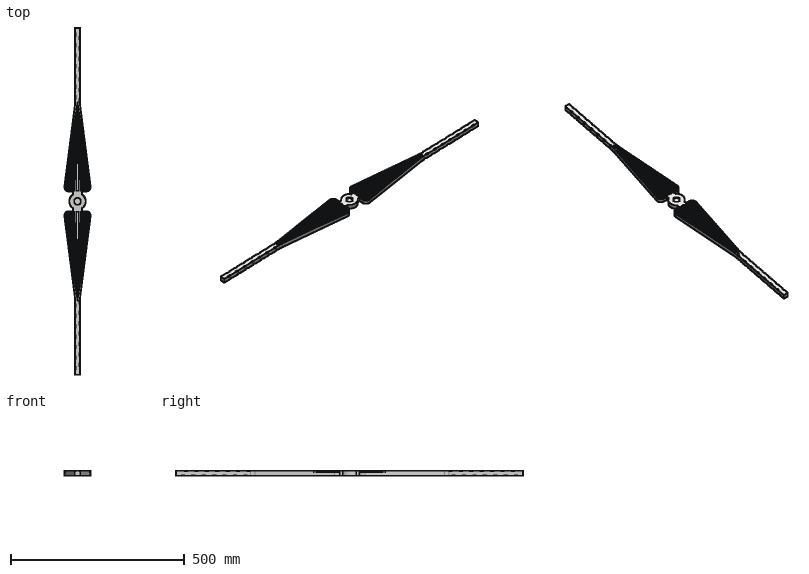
import cadquery as cq
import math

length = 1000.0
blade_width = 76.0
thickness = 15.0

hub_radius = 24.0
neck_width = 27.0
bore_diameter = 20.0
bore_depth = 5.0

rod_width = thickness
rod_start = 279.0
rod_blend_radius = 100.0

blade_base = 28.0
corner_radius = 14.0

groove_depth = 5.0
groove_rim = 2.0
fan_apex = 286.0
rib_tip_gap = 5.0
middle_groove_width = 8.4
middle_ribs_span = 20.0
side_grooves = 6

notch_count = 7
notch_pitch = 30.0
notch_length = 8.0
notch_size = 2.0
falling_diagonal_offset = 16.0
rising_diagonal_offset = 25.0

tip = length / 2
rod_half = rod_width / 2
corner_x = blade_width / 2 - corner_radius
corner_y = blade_base + corner_radius
selection_margin = 1.0


def taper_angle(start_x, start_y, radius):
    """Angle between +Y and the line from the start that touches the base corner arc."""
    dx = corner_x - start_x
    dy = start_y - corner_y
    return math.atan2(dx, dy) + math.asin(radius / math.hypot(dx, dy))


def corner_point(radius, angle):
    """Point on an arc around the center of the rounded base corner at +X."""
    return (corner_x + radius * math.cos(angle), corner_y + radius * math.sin(angle))


def mirrored(point):
    return (-point[0], point[1])


def taper_outline(start_x, start_y, radius):
    """Closed outline with a rounded base and straight tapers up to (+/-start_x, start_y)."""
    angle = taper_angle(start_x, start_y, radius)
    taper_end = corner_point(radius, angle)
    corner_middle = corner_point(radius, (angle - math.pi / 2) / 2)
    base_end = corner_point(radius, -math.pi / 2)
    outline = cq.Workplane("XY").moveTo(*mirrored(base_end)).lineTo(*base_end)
    outline = outline.threePointArc(corner_middle, taper_end).lineTo(start_x, start_y)
    if start_x > 0:
        outline = outline.lineTo(-start_x, start_y)
    outline = outline.lineTo(*mirrored(taper_end))
    return outline.threePointArc(mirrored(corner_middle), mirrored(base_end)).close()


def arm_blank():
    """Blade and rod pointing to +Y, blended where they meet."""
    blade = taper_outline(rod_half, rod_start, corner_radius).extrude(thickness)
    rod_length = tip - rod_start
    rod = cq.Workplane("XY").box(rod_width, rod_length, thickness, centered=(True, False, False))
    blank = blade.union(rod.translate((0, rod_start, 0))).clean()
    junction = cq.selectors.BoxSelector(
        (-rod_width, rod_start - selection_margin, 0),
        (rod_width, rod_start + selection_margin, thickness),
    )
    return blank.edges("|Z").edges(junction).fillet(rod_blend_radius)


def fan_rib_slopes():
    """Inner and outer sideways slope of each rib on one side, measured from the apex."""
    reach = fan_apex - blade_base
    first_outer = middle_ribs_span / 2 / reach
    fan_outer = math.tan(taper_angle(0, fan_apex, corner_radius - groove_rim))
    step = (fan_outer - first_outer) / (2 * side_grooves - 1)
    slopes = [(middle_groove_width / 2 / reach, first_outer)]
    for i in range(1, side_grooves):
        outer = first_outer + 2 * i * step
        slopes.append((outer - step, outer))
    return slopes


def groove_fan():
    """Inset copy of the blade with the ribs left out, placed at the groove floor."""
    fan = taper_outline(0, fan_apex, corner_radius - groove_rim).extrude(groove_depth)
    rib_tip = fan_apex - rib_tip_gap
    reach = fan_apex - blade_base
    for inner, outer in fan_rib_slopes():
        for side in (-1, 1):
            rib = [
                (side * inner * rib_tip_gap, rib_tip),
                (side * outer * rib_tip_gap, rib_tip),
                (side * outer * reach, blade_base),
                (side * inner * reach, blade_base),
            ]
            fan = fan.cut(cq.Workplane("XY").polyline(rib).close().extrude(groove_depth))
    return fan.translate((0, 0, thickness - groove_depth))


def cut_edge_notches(arm):
    """Short chamfers repeated along the rod edges, staggered between the two diagonals."""
    side = notch_size * math.sqrt(2)
    bar = cq.Workplane("XY").box(side, notch_length, side).rotate((0, 0, 0), (0, 1, 0), 45)
    for x in (-rod_half, rod_half):
        for z in (0, thickness):
            falling = (x < 0) == (z > 0)
            offset = falling_diagonal_offset if falling else rising_diagonal_offset
            for i in range(notch_count):
                y = tip - offset - notch_length / 2 - i * notch_pitch
                arm = arm.cut(bar.translate((x, y, z)))
    return arm


def hub():
    """Round hub with a blind bore and the neck that carries both blades."""
    disc = cq.Workplane("XY").circle(hub_radius).extrude(thickness)
    neck_length = 2 * (blade_base + groove_rim)
    neck = cq.Workplane("XY").rect(neck_width, neck_length).extrude(thickness)
    return disc.union(neck).faces(">Z").workplane(origin=(0, 0, thickness)).hole(bore_diameter, bore_depth)


arm = cut_edge_notches(arm_blank().cut(groove_fan()))
result = hub().union(arm).union(arm.mirror("XZ"))